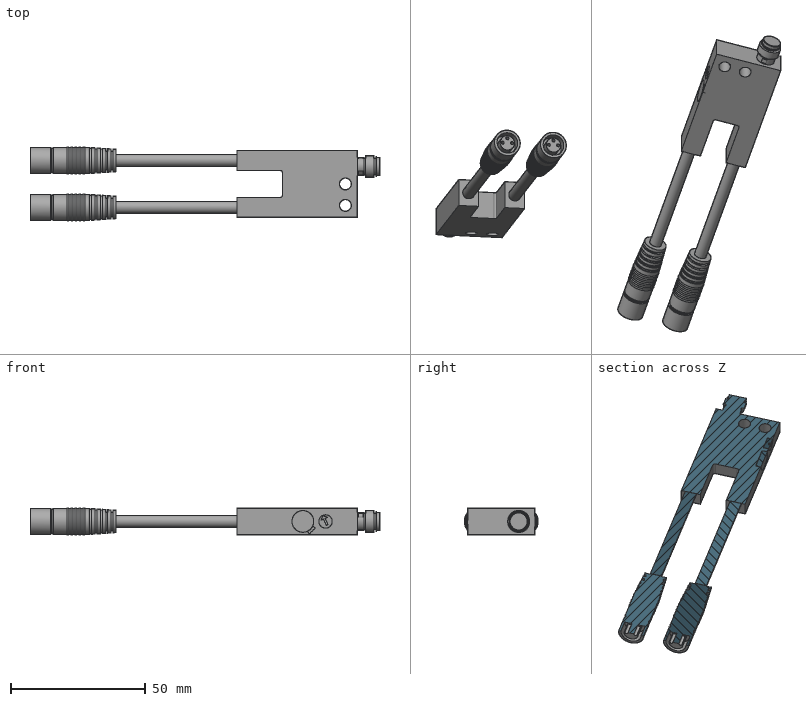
import cadquery as cq
import math

HOUSING_LENGTH = 45.0
HOUSING_WIDTH = 25.0
HOUSING_HEIGHT = 10.0
FORK_GAP = 10.0
FORK_DEPTH = 17.0
FORK_CORNER_RADIUS = 0.8
ARM_Y = (HOUSING_WIDTH + FORK_GAP) / 4
SIDE_FACE_Y = -HOUSING_WIDTH / 2

MOUNT_HOLE_DIAMETER = 4.3
MOUNT_HOLE_X = HOUSING_LENGTH - 4.5
MOUNT_HOLE_YS = (0.0, -8.0)

COVER_X = 24.65
COVER_RADIUS = 4.05
COVER_THICKNESS = 2.0
NOTCH_ANGLE = -45.0
NOTCH_WIDTH = 3.0
NOTCH_REACH = 5.0
NOTCH_DEPTH = 1.0

SCREW_X = 33.1
SCREW_RADIUS = 2.5
SCREW_LENGTH = 2.0
ARROW_ANGLE = 115.0
ARROW_TIP = 2.4
ARROW_HEAD_BASE = 1.1
ARROW_HEAD_WIDTH = 2.6
ARROW_STEM_WIDTH = 0.7
ARROW_STEM_END = -1.5
ARROW_DEPTH = 0.8

PLUG_Y = 6.5
PLUG_LENGTH = 8.5
PLUG_CORE_RADIUS = 3.1
PLUG_NECK_RADIUS = 3.4
PLUG_NECK_END = 2.4
PLUG_COLLAR_RADIUS = 4.1
PLUG_COLLAR_START = 3.05
PLUG_COLLAR_END = 6.1
PLUG_RING_RADIUS = 3.7
PLUG_RING_START = 6.85
PLUG_RING_END = 7.1
PLUG_TIP_RADIUS = 3.4
PLUG_TIP_CHAMFER = 0.2
NECK_FLAT_DISTANCE = 3.28
NECK_FLAT_START = 0.3
NECK_FLAT_END = 2.0
NECK_FLAT_ANGLES = (15, 135, 255)

CABLE_RADIUS = 2.25
CABLE_LENGTH = 45.0

CONNECTOR_LENGTH = 32.0
CONNECTOR_RADIUS = 4.9
CONNECTOR_TIP_X = -CABLE_LENGTH - CONNECTOR_LENGTH

COLLAR_GROOVE_START = 7.6
COLLAR_GROOVE_END = 8.75
COLLAR_GROOVE_RADIUS = 4.5
COLLAR_GROOVE_FLOOR_START = 7.8
COLLAR_GROOVE_FLOOR_END = 8.1

RIDGE_COUNT = 5
FIRST_RIDGE = 14.0
RIDGE_PITCH = 1.5
RIDGE_HALF_WIDTH = 0.38
RIDGE_RADIUS = 5.04

TAPER_START = 21.9
TAPER_END_RADIUS = 4.2
FIRST_TAPER_GROOVE = 22.5
TAPER_GROOVE_PITCH = 2.0
TAPER_GROOVE_WIDTH = 0.7
TAPER_GROOVE_RADII = (4.6, 4.35, 4.3, 3.5, 3.5)

SOCKET_OUTER_RADIUS = 3.9
SOCKET_INSERT_RADIUS = 2.75
SOCKET_DEPTH = 5.0
PIN_HOLE_DIAMETER = 1.1
PIN_HOLE_DEPTH = 5.0
PIN_HOLE_OFFSET = 1.77
PIN_HOLE_ANGLES = (0, 90, 180)


def side_plane(x):
    """Plane on the -Y side of the housing at the given X, with its normal pointing out of the housing."""
    return cq.Workplane("XZ", origin=(x, SIDE_FACE_Y, 0))


def revolve_about_x(profile, x, y):
    """Turn a half section, drawn in XY with its base on the X axis, about a line along X from (x, y)."""
    return profile.close().revolve(360, (0, 0, 0), (1, 0, 0)).translate((x, y, 0))


def make_cover():
    return side_plane(COVER_X).circle(COVER_RADIUS).extrude(-COVER_THICKNESS)


def make_screw():
    screw = side_plane(SCREW_X).circle(SCREW_RADIUS).extrude(-SCREW_LENGTH)
    arrow_slot = (
        side_plane(SCREW_X)
        .transformed(rotate=(0, 0, ARROW_ANGLE))
        .moveTo(ARROW_TIP, 0)
        .lineTo(ARROW_HEAD_BASE, ARROW_HEAD_WIDTH / 2)
        .lineTo(ARROW_HEAD_BASE, ARROW_STEM_WIDTH / 2)
        .lineTo(ARROW_STEM_END, ARROW_STEM_WIDTH / 2)
        .lineTo(ARROW_STEM_END, -ARROW_STEM_WIDTH / 2)
        .lineTo(ARROW_HEAD_BASE, -ARROW_STEM_WIDTH / 2)
        .lineTo(ARROW_HEAD_BASE, -ARROW_HEAD_WIDTH / 2)
        .close()
        .extrude(-ARROW_DEPTH)
    )
    return screw.cut(arrow_slot)


def make_notch():
    """Pry notch that starts under the cover and opens beside its rim."""
    return (
        side_plane(COVER_X)
        .transformed(rotate=(0, 0, NOTCH_ANGLE))
        .center(NOTCH_REACH / 2, 0)
        .rect(NOTCH_REACH, NOTCH_WIDTH)
        .extrude(-NOTCH_DEPTH)
    )


def make_plug():
    """Stepped plug, with three flats around its neck."""
    chamfer_start = PLUG_LENGTH - PLUG_TIP_CHAMFER
    profile = cq.Workplane("XY").polyline(
        [
            (0, 0),
            (0, PLUG_NECK_RADIUS),
            (PLUG_NECK_END, PLUG_NECK_RADIUS),
            (PLUG_NECK_END, PLUG_CORE_RADIUS),
            (PLUG_COLLAR_START, PLUG_CORE_RADIUS),
            (PLUG_COLLAR_START, PLUG_COLLAR_RADIUS),
            (PLUG_COLLAR_END, PLUG_COLLAR_RADIUS),
            (PLUG_COLLAR_END, PLUG_CORE_RADIUS),
            (PLUG_RING_START, PLUG_CORE_RADIUS),
            (PLUG_RING_START, PLUG_RING_RADIUS),
            (PLUG_RING_END, PLUG_RING_RADIUS),
            (PLUG_RING_END, PLUG_TIP_RADIUS),
            (chamfer_start, PLUG_TIP_RADIUS),
            (PLUG_LENGTH, PLUG_TIP_RADIUS - PLUG_TIP_CHAMFER),
            (PLUG_LENGTH, 0),
        ]
    )
    plug = revolve_about_x(profile, HOUSING_LENGTH, PLUG_Y)
    for angle in NECK_FLAT_ANGLES:
        flat = (
            cq.Workplane("XY")
            .box(
                NECK_FLAT_END - NECK_FLAT_START,
                PLUG_NECK_RADIUS,
                2 * PLUG_NECK_RADIUS,
                centered=(False, False, True),
            )
            .translate((NECK_FLAT_START, NECK_FLAT_DISTANCE, 0))
            .rotate((0, 0, 0), (1, 0, 0), angle)
            .translate((HOUSING_LENGTH, PLUG_Y, 0))
        )
        plug = plug.cut(flat)
    return plug


def make_housing():
    """Forked block with its plug, mounting holes and the seats of the cover and the screw."""
    block = cq.Workplane("XY").box(
        HOUSING_LENGTH, HOUSING_WIDTH, HOUSING_HEIGHT, centered=(False, True, True)
    )
    gap = (
        cq.Workplane("XY")
        .box(FORK_DEPTH, FORK_GAP, HOUSING_HEIGHT, centered=(False, True, True))
        .edges("|Z and >X")
        .fillet(FORK_CORNER_RADIUS)
    )
    mount_holes = (
        cq.Workplane("XY", origin=(0, 0, -HOUSING_HEIGHT / 2))
        .pushPoints([(MOUNT_HOLE_X, y) for y in MOUNT_HOLE_YS])
        .circle(MOUNT_HOLE_DIAMETER / 2)
        .extrude(HOUSING_HEIGHT)
    )
    cover_seat = side_plane(COVER_X).circle(COVER_RADIUS).extrude(-COVER_THICKNESS)
    screw_seat = side_plane(SCREW_X).circle(SCREW_RADIUS).extrude(-SCREW_LENGTH)
    block = block.cut(gap).cut(mount_holes)
    block = block.cut(cover_seat).cut(screw_seat).cut(make_notch())
    return block.union(make_plug())


def make_cable(y):
    return cq.Workplane("YZ", origin=(-CABLE_LENGTH, y, 0)).circle(CABLE_RADIUS).extrude(CABLE_LENGTH)


def taper_radius(distance):
    """Outer radius of the tapered grip at a distance from the mating end."""
    fraction = (distance - TAPER_START) / (CONNECTOR_LENGTH - TAPER_START)
    return CONNECTOR_RADIUS + fraction * (TAPER_END_RADIUS - CONNECTOR_RADIUS)


def connector_profile():
    """Half section of the connector: plain sleeve, rounded ridges, then a grooved taper."""
    profile = (
        cq.Workplane("XY")
        .lineTo(0, CONNECTOR_RADIUS)
        .lineTo(COLLAR_GROOVE_START, CONNECTOR_RADIUS)
        .lineTo(COLLAR_GROOVE_FLOOR_START, COLLAR_GROOVE_RADIUS)
        .lineTo(COLLAR_GROOVE_FLOOR_END, COLLAR_GROOVE_RADIUS)
        .lineTo(COLLAR_GROOVE_END, CONNECTOR_RADIUS)
    )
    for i in range(RIDGE_COUNT):
        peak = FIRST_RIDGE + i * RIDGE_PITCH
        profile = profile.lineTo(peak - RIDGE_HALF_WIDTH, CONNECTOR_RADIUS).threePointArc(
            (peak, RIDGE_RADIUS), (peak + RIDGE_HALF_WIDTH, CONNECTOR_RADIUS)
        )
    profile = profile.lineTo(TAPER_START, CONNECTOR_RADIUS)
    for i, floor_radius in enumerate(TAPER_GROOVE_RADII):
        start = FIRST_TAPER_GROOVE + i * TAPER_GROOVE_PITCH - TAPER_GROOVE_WIDTH / 2
        end = start + TAPER_GROOVE_WIDTH
        profile = (
            profile.lineTo(start, taper_radius(start))
            .lineTo(start, floor_radius)
            .lineTo(end, floor_radius)
            .lineTo(end, taper_radius(end))
        )
    return profile.lineTo(CONNECTOR_LENGTH, TAPER_END_RADIUS).lineTo(CONNECTOR_LENGTH, 0)


def make_connector(y):
    """Cable connector with a ring-shaped socket around its three-hole insert."""
    mating_face = cq.Workplane("YZ", origin=(CONNECTOR_TIP_X, y, 0))
    socket = mating_face.circle(SOCKET_OUTER_RADIUS).circle(SOCKET_INSERT_RADIUS).extrude(SOCKET_DEPTH)
    hole_centres = [
        (
            PIN_HOLE_OFFSET * math.cos(math.radians(angle)),
            PIN_HOLE_OFFSET * math.sin(math.radians(angle)),
        )
        for angle in PIN_HOLE_ANGLES
    ]
    pin_holes = mating_face.pushPoints(hole_centres).circle(PIN_HOLE_DIAMETER / 2).extrude(PIN_HOLE_DEPTH)
    body = revolve_about_x(connector_profile(), CONNECTOR_TIP_X, y)
    return body.cut(socket).cut(pin_holes)


housing = make_housing()
cover = make_cover()
screw = make_screw()
cables = [make_cable(y) for y in (-ARM_Y, ARM_Y)]
connectors = [make_connector(y) for y in (-ARM_Y, ARM_Y)]

result = cq.Compound.makeCompound(
    [
        housing.val(),
        cover.val(),
        screw.val(),
        *[cable.val() for cable in cables],
        *[connector.val() for connector in connectors],
    ]
)